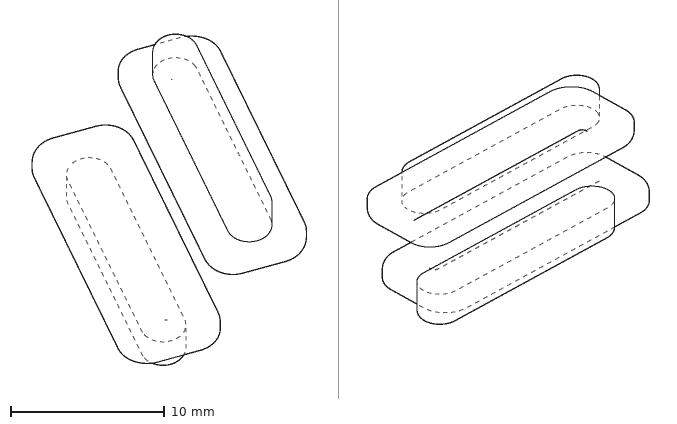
import cadquery as cq
import math

overall_length = 27.15
overall_width = 15.6
height = 4.0

flange_length = 20.0
flange_width = 7.0
flange_thickness = 1.5
flange_corner_radius = 2.0
face_fillet = 0.75
seat_fillet = 0.1

stem_length = 17.0
stem_width = 2.99
stem_end_fillet = 0.3

groove_length = 16.0
groove_width = 1.0
groove_depth = 0.25
groove_lip_radius = 0.125
groove_end_distance = groove_length - groove_width

plug_x = (overall_length - flange_length) / 2
plug_y = (overall_width - flange_width) / 2


def make_flange():
    """Rounded plate whose top face is at the full height."""
    return (
        cq.Workplane("XY")
        .workplane(offset=height - flange_thickness)
        .rect(flange_length, flange_width)
        .extrude(flange_thickness)
        .edges("|Z").fillet(flange_corner_radius)
        .faces(">Z").edges().fillet(face_fillet)
        .faces("<Z").edges().fillet(seat_fillet)
    )


def make_stem():
    """Round-ended bar from the ground plane up to the flange."""
    return (
        cq.Workplane("XY")
        .slot2D(stem_length, stem_width)
        .extrude(height - flange_thickness)
        .faces("<Z").edges().fillet(stem_end_fillet)
    )


def groove_profile(plane):
    """Half cross-section: a concave floor arc running tangent into a convex lip arc."""
    half_width = groove_width / 2
    sweep = 2 * math.atan2(groove_depth, half_width)
    floor_radius = half_width / math.sin(sweep) - groove_lip_radius
    floor_z = height - groove_depth

    def floor_point(angle):
        return floor_radius * math.sin(angle), floor_z + floor_radius * (1 - math.cos(angle))

    def lip_point(angle):
        return (
            half_width - groove_lip_radius * math.sin(angle),
            height - groove_lip_radius * (1 - math.cos(angle)),
        )

    return (
        cq.Workplane(plane)
        .moveTo(0, height)
        .lineTo(*floor_point(0))
        .threePointArc(floor_point(sweep / 2), floor_point(sweep))
        .threePointArc(lip_point(sweep / 2), lip_point(0))
        .close()
    )


def make_groove():
    """Cutter for the groove: a straight channel with a revolved end at each side."""
    half_channel = groove_profile("YZ").extrude(groove_end_distance / 2, both=True)
    groove = half_channel.union(half_channel.mirror("XZ"))
    round_end = groove_profile("XZ").revolve(360, (0, 0, 0), (0, 1, 0))
    for side in (-1, 1):
        groove = groove.union(round_end.translate((side * groove_end_distance / 2, 0, 0)))
    return groove


def make_plug():
    """Plug centred on the Z axis, flange up and stem down."""
    return make_flange().union(make_stem()).cut(make_groove())


def turn_over(plug):
    """Turn a plug about the X direction through its middle height."""
    return plug.rotate((0, 0, height / 2), (1, 0, height / 2), 180)


placements = [
    (plug_x, -plug_y, False),
    (-plug_x, plug_y, True),
]

plugs = []
for center_x, center_y, turned in placements:
    plug = turn_over(make_plug()) if turned else make_plug()
    plugs.append(plug.translate((center_x, center_y, 0)).val())

result = cq.Compound.makeCompound([solid for plug in plugs for solid in plug.Solids()])